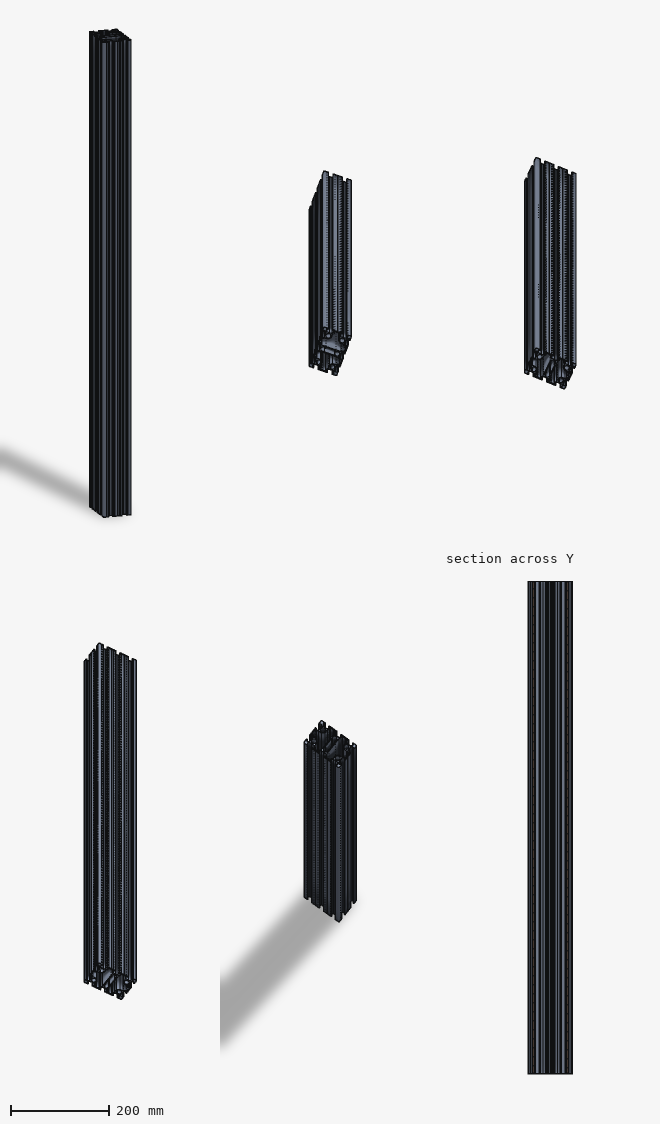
import cadquery as cq

width = 90.0
depth = 60.0
length = 1000.0
corner_radius = 2.0

pitch = 30.0
inset = pitch / 2
wall = 2.0
skin = 2.2

mouth_half = 5.0
undercut_half = 7.8
lip = skin
shoulder_depth = 5.2
floor_depth = 8.0
floor_half = 5.5

groove_half = 0.5
groove_depth = 0.5

bore_radius = 5.0
casing_half = undercut_half + wall
casing_shoulder = 6.5
core_half = bore_radius + wall
core_end = inset + core_half
core_chamfer = 5.0

web_hollow_width = 2 * bore_radius
web_hollow_height = 22.0


def mirrored_prism(half_outline):
    """Extrude an outline given by its right half, from the outer face inward."""
    left_half = [(-x, y) for x, y in reversed(half_outline) if x > 0]
    return cq.Workplane("XY").polyline(half_outline + left_half).close().extrude(length)


def block(x_min, x_max, y_min, y_max):
    """Full-length rectangular block between the given limits."""
    size = (x_max - x_min, y_max - y_min, length)
    return cq.Workplane("XY").box(*size, centered=False).translate((x_min, y_min, 0))


def slot_void():
    """T-slot open at y = 0 and running toward -Y, with a centring groove in its floor."""
    return mirrored_prism([
        (0, 0),
        (mouth_half, 0),
        (mouth_half, -lip),
        (undercut_half, -lip),
        (undercut_half, -shoulder_depth),
        (floor_half, -floor_depth),
        (groove_half, -floor_depth),
        (0, -floor_depth - groove_depth),
    ])


def slot_casing():
    """Solid envelope of one slot and the core behind it, before the slot is cut."""
    return mirrored_prism([
        (0, 0),
        (casing_half, 0),
        (casing_half, -casing_shoulder),
        (core_half, -casing_shoulder - (casing_half - core_half)),
        (core_half, -core_end + core_chamfer),
        (core_half - core_chamfer, -core_end),
    ])


def marking_groove():
    """Small V-groove running along an outer face."""
    return mirrored_prism([(0, -groove_depth), (groove_half, 0)])


def place(shape, placement):
    """Turn a slot shape about Z and move it to its mouth on the outer face."""
    x, y, angle = placement
    return shape.rotate((0, 0, 0), (0, 0, 1), angle).translate((x, y, 0))


slot_placements = []
for x in (-pitch, 0, pitch):
    slot_placements.append((x, depth / 2, 0))
    slot_placements.append((x, -depth / 2, 180))
for y in (-inset, inset):
    slot_placements.append((-width / 2, y, 90))
    slot_placements.append((width / 2, y, -90))

groove_placements = [(-width / 2, 0, 90), (width / 2, 0, -90)]
for x in (-inset, inset):
    groove_placements.append((x, depth / 2, 0))
    groove_placements.append((x, -depth / 2, 180))

profile = cq.Workplane("XY").rect(width, depth).extrude(length)
profile = profile.edges("|Z").fillet(corner_radius)

chamber_x = width / 2 - skin
chamber_y = depth / 2 - skin
chambers = block(core_half, chamber_x, -chamber_y, chamber_y)
chambers = chambers.union(block(-chamber_x, -core_half, -chamber_y, chamber_y))

for placement in slot_placements:
    chambers = chambers.cut(place(slot_casing(), placement))
for x_side in (-1, 1):
    for y_side in (-1, 1):
        corner_x = sorted((x_side * pitch, x_side * width / 2))
        corner_y = sorted((y_side * inset, y_side * depth / 2))
        chambers = chambers.cut(block(*corner_x, *corner_y))
profile = profile.cut(chambers)

for placement in slot_placements:
    profile = profile.cut(place(slot_void(), placement))
for placement in groove_placements:
    profile = profile.cut(place(marking_groove(), placement))

bore_centres = [(x, y) for x in (-pitch, 0, pitch) for y in (-inset, inset)]
bores = cq.Workplane("XY").pushPoints(bore_centres).circle(bore_radius).extrude(length)
profile = profile.cut(bores)

web_hollow = cq.Workplane("XY").rect(web_hollow_width, web_hollow_height).extrude(length)
result = profile.cut(web_hollow)